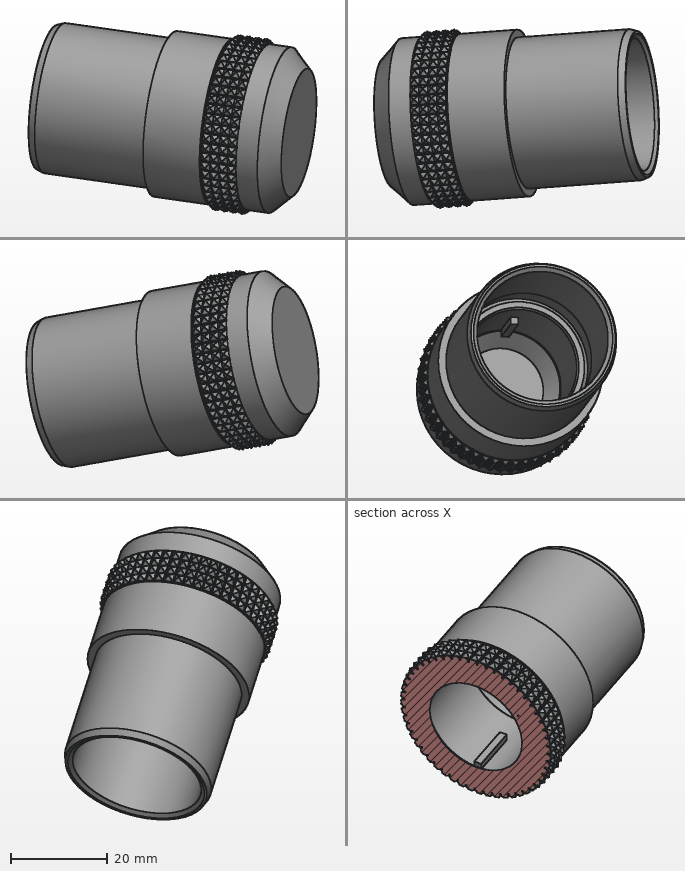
import cadquery as cq

length = 54.1

neck_radius = 15.8
neck_length = 25.35
neck_chamfer_length = 1.5
neck_chamfer_depth = 0.55
body_radius = 17.4
tail_chamfer_length = 4.05
tail_chamfer_depth = 3.95

tooth_width = 1.9
teeth_per_row = 4
row_count = 52
first_row_angle = 2.5
knurl_start = 37.85
knurl_end = knurl_start + teeth_per_row * tooth_width
knurl_clearance = 0.3
groove_radius = 17.0
tooth_tip_radius = 18.4
tooth_height = tooth_width / 2
tooth_base_radius = tooth_tip_radius - tooth_height
root_overlap = 0.55

mouth_radius = 14.7
mouth_chamfer_length = 0.65
bore_radius = 13.85
bore_end = 19.35
bore_flare = 0.5
chamber_radius = bore_radius + bore_flare
seat_depth = neck_length
seat_rim_radius = 13.45
seat_chamfer = chamber_radius - seat_rim_radius
socket_radius = 11.9
socket_chamfer = 0.4
lip_depth = 43.3
lip_radius = 11.65
lip_chamfer = socket_radius - lip_radius
floor_depth = 46.5
floor_radius = 8.7

key_width = 1.6
key_start = 32.45
key_inner_radius = 10.4
key_embed = 0.25
key_outer_radius = socket_radius + key_embed


def revolve_about_x(points):
    """Turn a closed (x, radius) outline into a solid around the X axis."""
    return cq.Workplane("XY").polyline(points).close().revolve(360, (0, 0, 0), (1, 0, 0))


def make_outer_body():
    groove_start = knurl_start - knurl_clearance
    return revolve_about_x([
        (0, 0),
        (0, neck_radius - neck_chamfer_depth),
        (neck_chamfer_length, neck_radius),
        (neck_length, neck_radius),
        (neck_length, body_radius),
        (groove_start, body_radius),
        (groove_start, groove_radius),
        (knurl_end, groove_radius),
        (knurl_end, body_radius),
        (length - tail_chamfer_length, body_radius),
        (length, body_radius - tail_chamfer_depth),
        (length, 0),
    ])


def make_bore():
    return revolve_about_x([
        (0, 0),
        (0, mouth_radius),
        (mouth_chamfer_length, bore_radius),
        (bore_end, bore_radius),
        (bore_end + bore_flare, chamber_radius),
        (seat_depth + seat_chamfer, chamber_radius),
        (seat_depth, seat_rim_radius),
        (seat_depth, socket_radius + socket_chamfer),
        (seat_depth + socket_chamfer, socket_radius),
        (lip_depth + lip_chamfer, socket_radius),
        (lip_depth, lip_radius),
        (floor_depth, floor_radius),
        (floor_depth, 0),
    ])


def make_key(side):
    """Key on the +Z (side = 1) or -Z (side = -1) wall of the socket."""
    key_length = lip_depth - key_start
    key_height = key_outer_radius - key_inner_radius
    middle = (key_start + key_length / 2, 0, side * (key_inner_radius + key_height / 2))
    return cq.Workplane("XY").box(key_length, key_width, key_height).translate(middle)


def make_tooth_row():
    """Row of square pyramids along X, pointing to +Z, on one rooted block."""
    root_radius = groove_radius - root_overlap
    half_width = tooth_width / 2
    ridge = [(knurl_start, root_radius), (knurl_start, tooth_base_radius)]
    for tooth in range(teeth_per_row):
        tooth_start = knurl_start + tooth * tooth_width
        ridge.append((tooth_start + half_width, tooth_tip_radius))
        ridge.append((tooth_start + tooth_width, tooth_base_radius))
    ridge.append((knurl_end, root_radius))
    sawtooth = cq.Workplane("XZ").polyline(ridge).close().extrude(half_width, both=True)
    gable = (
        cq.Workplane("YZ", origin=(knurl_start, 0, 0))
        .moveTo(-half_width, root_radius)
        .lineTo(-half_width, tooth_base_radius)
        .lineTo(0, tooth_tip_radius)
        .lineTo(half_width, tooth_base_radius)
        .lineTo(half_width, root_radius)
        .close()
        .extrude(knurl_end - knurl_start)
    )
    return sawtooth.intersect(gable)


sleeve = make_outer_body().cut(make_bore())
for side in (1, -1):
    sleeve = sleeve.union(make_key(side))

tooth_row = make_tooth_row().val()
tooth_rows = []
for row in range(row_count):
    angle = first_row_angle + row * 360 / row_count
    tooth_rows.append(tooth_row.rotate(cq.Vector(0, 0, 0), cq.Vector(1, 0, 0), angle))

result = cq.Workplane("XY").newObject([sleeve.val().fuse(*tooth_rows)])